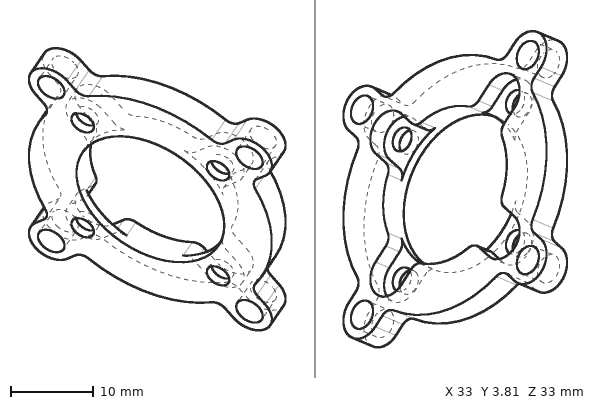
import cadquery as cq
import math

thickness = 3.81
ring_radius = 16.51
bore_radius = 10.03

ear_radius = 3.05
ear_hole_radius = 1.8
ear_offset = ring_radius - ear_radius
ear_distance = ear_offset * math.sqrt(2)

screw_hole_radius = 1.525
screw_circle_radius = 13.0
pocket_half_width = 2.92
floor_thickness = 1.27

blend_radius = 1.5

diagonal_angles = [45, 135, 225, 315]


def diagonal_arm(half_width, reach, angle, start):
    """Round-ended arm from the bore axis to the given reach and angle, from y = start to the back face."""
    arm = (
        cq.Workplane("XZ", origin=(0, start, 0))
        .moveTo(0, -half_width)
        .lineTo(reach, -half_width)
        .threePointArc((reach + half_width, 0), (reach, half_width))
        .lineTo(0, half_width)
        .close()
        .extrude(start - thickness)
    )
    return arm.rotate((0, 0, 0), (0, 1, 0), angle)


def blended_star(core_radius, arm_half_width, arm_reach, start=0.0):
    """Full-depth disc with four diagonal arms behind y = start, its inside corners rounded."""
    star = cq.Workplane("XZ").circle(core_radius).extrude(-thickness)
    for angle in diagonal_angles:
        star = star.union(diagonal_arm(arm_half_width, arm_reach, angle, start))
    half_angle = math.degrees(math.asin(arm_half_width / core_radius))
    corners = cq.Workplane("XZ")
    for angle in diagonal_angles:
        for side in (-1, 1):
            corner_angle = math.radians(angle + side * half_angle)
            x = core_radius * math.cos(corner_angle)
            z = core_radius * math.sin(corner_angle)
            mid_depth = (start + thickness) / 2
            edge = star.edges("|Y").edges(cq.NearestToPointSelector((x, mid_depth, z)))
            corners = corners.add(edge)
    return star.newObject(corners.vals()).fillet(blend_radius)


def diagonal_holes(radius, distance):
    """Four through-hole cutters on the diagonals, at a distance from the bore axis."""
    return (
        cq.Workplane("XZ")
        .polarArray(distance, diagonal_angles[0], 360, len(diagonal_angles))
        .circle(radius)
        .extrude(-thickness)
    )


body = blended_star(ring_radius, ear_radius, ear_distance)
bore_and_pockets = blended_star(bore_radius, pocket_half_width, screw_circle_radius, floor_thickness)

result = (
    body.cut(bore_and_pockets)
    .cut(diagonal_holes(ear_hole_radius, ear_distance))
    .cut(diagonal_holes(screw_hole_radius, screw_circle_radius))
)